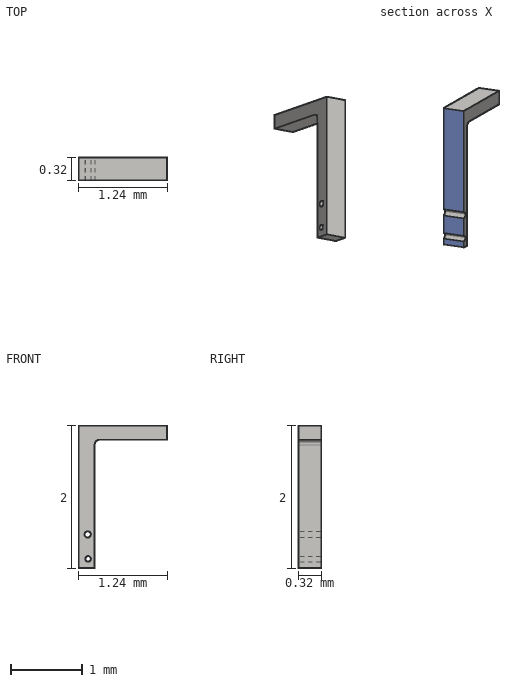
import cadquery as cq

length = 1.24
depth = 0.32
height = 2.0

upright_width = 0.225
arm_thickness = 0.2
inner_radius = 0.07

holes = [
    (0.085, 0.127, 0.473),
    (0.075, 0.132, 0.13),
]


def make_bracket():
    """Upright with an arm along +X at its top, extruded along +Y."""
    arm_underside = height - arm_thickness
    profile = (
        cq.Workplane("XZ")
        .moveTo(0, 0)
        .lineTo(upright_width, 0)
        .lineTo(upright_width, arm_underside - inner_radius)
        .radiusArc((upright_width + inner_radius, arm_underside), inner_radius)
        .lineTo(length, arm_underside)
        .lineTo(length, height)
        .lineTo(0, height)
        .close()
    )
    return profile.extrude(-depth)


def make_hole(diameter, x, z):
    """Cylinder through the full depth of the upright."""
    return cq.Workplane("XZ").center(x, z).circle(diameter / 2).extrude(-depth)


result = make_bracket()
for diameter, x, z in holes:
    result = result.cut(make_hole(diameter, x, z))